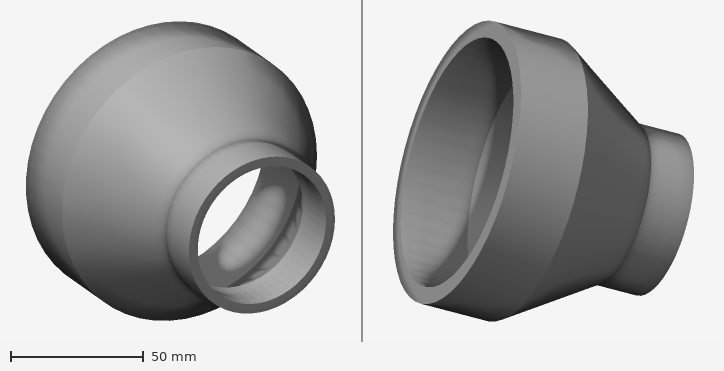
import cadquery as cq

wide_outer_diameter = 110.0
wide_bore_diameter = 96.9
narrow_outer_diameter = 63.0
narrow_bore_diameter = 55.3

total_length = 84.0
wide_length = 28.0
narrow_length = 18.0
narrow_start = total_length - narrow_length


def stepped_body(wide_diameter, narrow_diameter):
    """Solid of revolution: wide cylinder, cone, narrow cylinder."""
    wide_radius = wide_diameter / 2
    narrow_radius = narrow_diameter / 2
    return (
        cq.Workplane("XY")
        .moveTo(0, 0)
        .lineTo(0, wide_radius)
        .lineTo(wide_length, wide_radius)
        .lineTo(narrow_start, narrow_radius)
        .lineTo(total_length, narrow_radius)
        .lineTo(total_length, 0)
        .close()
        .revolve(360, (0, 0, 0), (1, 0, 0))
    )


outer_body = stepped_body(wide_outer_diameter, narrow_outer_diameter)
bore = stepped_body(wide_bore_diameter, narrow_bore_diameter)

result = outer_body.cut(bore)